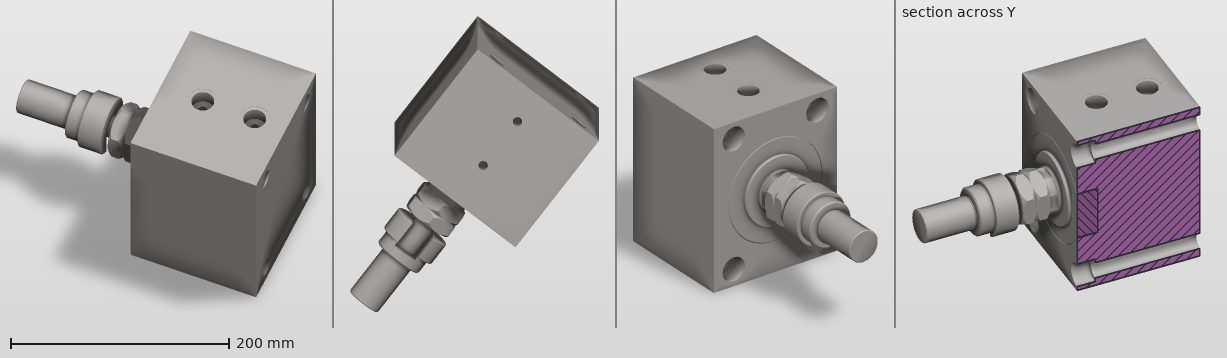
import cadquery as cq
import math


overall_length = 262.0

block_length = 125.0
block_width = 140.0
block_height = 170.0
bolt_pitch_y = 94.8
bolt_pitch_z = 135.2
bolt_hole_diameter = 17.0
bolt_counterbore_diameter = 25.2
bolt_counterbore_depth = 18.3

port_positions = [42.2, 93.8]
port_drill_diameter = 8.6
port_thread_diameter = 21.0
port_thread_depth = 14.0
port_spotface_diameter = 28.3
port_spotface_depth = 0.3

gland_radius = 53.5
gland_depth = 21.0
gland_chamfer = 1.0
collar_radius = 36.2
collar_height = 3.5
collar_chamfer_length = 1.5
collar_chamfer_radial = 0.8

rod_radius = 22.5
rod_inner_end = 57.6
rod_shoulder = -6.8
rod_chamfer = 0.8
flats_length = 8.0
flats_radius = 22.0
flats_across = 40.3
rod_outer_end = rod_shoulder - flats_length

hex_length = 14.0
hex_across_flats = 46.0
hex_count = 2
neck_radius = 10.7
neck_flare_radius = 12.8
neck_flare_length = 2.0
stud_face = rod_outer_end - hex_count * hex_length

coupling_tip = block_length - overall_length
shank_length = 50.0
shank_radius = 16.2
relief_length = 1.3
cap_length = 14.5
cap_radius = 23.3
cap_chamfer = 1.3
sleeve_length = 22.8
sleeve_radius = 27.5
edge_chamfer = 0.8
slot_width = 23.5
slot_into_cap = 4.5

relief_radius = shank_radius - edge_chamfer
relief_start = coupling_tip + shank_length
cap_start = relief_start + relief_length
sleeve_start = cap_start + cap_length
sleeve_end = sleeve_start + sleeve_length
slot_start = sleeve_start - slot_into_cap


def turned(profile):
    """Solid of revolution about X; the profile lists (x, radius) points between two axis points."""
    closed = [(profile[0][0], 0), *profile, (profile[-1][0], 0)]
    return cq.Workplane("XZ").polyline(closed).close().revolve(360, (0, 0, 0), (1, 0, 0))


def cylinder_x(radius, start, end):
    return cq.Workplane("YZ", origin=(start, 0, 0)).circle(radius).extrude(end - start)


def make_block():
    block = cq.Workplane("XY").box(block_length, block_width, block_height, centered=(False, True, True))
    block = (
        block.faces("<X").workplane(origin=(0, 0, 0))
        .rarray(bolt_pitch_y, bolt_pitch_z, 2, 2)
        .cboreHole(bolt_hole_diameter, bolt_counterbore_diameter, bolt_counterbore_depth)
    )
    ports = block.faces(">Z").workplane(origin=(0, 0, 0)).pushPoints([(x, 0) for x in port_positions])
    block = ports.cboreHole(port_drill_diameter, port_thread_diameter, port_thread_depth)
    spotfaces = (
        cq.Workplane("XY", origin=(0, 0, block_height / 2))
        .pushPoints([(x, 0) for x in port_positions])
        .circle(port_spotface_diameter / 2)
        .extrude(-port_spotface_depth)
    )
    gland_seat = cylinder_x(gland_radius, 0, gland_depth)
    rod_bore = cylinder_x(rod_radius, 0, rod_inner_end)
    return block.cut(spotfaces).cut(gland_seat).cut(rod_bore)


def make_gland():
    gland = turned([
        (-collar_height, collar_radius - collar_chamfer_radial),
        (-collar_height + collar_chamfer_length, collar_radius),
        (0, collar_radius),
        (0, gland_radius - gland_chamfer),
        (gland_chamfer, gland_radius),
        (gland_depth, gland_radius),
    ])
    return gland.cut(cylinder_x(rod_radius, -collar_height, gland_depth))


def make_rod():
    shaft = turned([
        (rod_shoulder, rod_radius - rod_chamfer),
        (rod_shoulder + rod_chamfer, rod_radius),
        (rod_inner_end, rod_radius),
    ])
    flats = cylinder_x(flats_radius, rod_outer_end, rod_shoulder).intersect(
        cq.Workplane("YZ", origin=(rod_outer_end, 0, 0)).rect(flats_across, flats_across).extrude(flats_length)
    )
    return shaft.union(flats)


def make_hexagon(start):
    """Hexagon with corners on Z, both ends chamfered at 45 degrees down to the flats."""
    corner_radius = hex_across_flats / math.sqrt(3)
    flat_radius = hex_across_flats / 2
    chamfer = corner_radius - flat_radius
    end = start + hex_length
    hexagon = (
        cq.Workplane("YZ", origin=(start, 0, 0))
        .transformed(rotate=(0, 0, 90))
        .polygon(6, 2 * corner_radius)
        .extrude(hex_length)
    )
    envelope = turned([
        (start, flat_radius),
        (start + chamfer, corner_radius),
        (end - chamfer, corner_radius),
        (end, flat_radius),
    ])
    return hexagon.intersect(envelope)


def make_stud():
    stud = turned([
        (slot_start, neck_radius),
        (stud_face - neck_flare_length, neck_radius),
        (stud_face, neck_flare_radius),
    ])
    for index in range(hex_count):
        stud = stud.union(make_hexagon(stud_face + index * hex_length))
    return stud


def make_coupling():
    body = turned([
        (coupling_tip, relief_radius),
        (coupling_tip + edge_chamfer, shank_radius),
        (relief_start - edge_chamfer, shank_radius),
        (relief_start, relief_radius),
        (cap_start, relief_radius),
        (cap_start, cap_radius - cap_chamfer),
        (cap_start + cap_chamfer, cap_radius),
        (sleeve_start, cap_radius),
        (sleeve_start, sleeve_radius - edge_chamfer),
        (sleeve_start + edge_chamfer, sleeve_radius),
        (sleeve_end - edge_chamfer, sleeve_radius),
        (sleeve_end, sleeve_radius - edge_chamfer),
    ])
    slot_length = sleeve_end - slot_start
    slot_top = cylinder_x(slot_width / 2, slot_start, sleeve_end)
    slot_sides = cq.Workplane("XY", origin=(slot_start, 0, 0)).box(
        slot_length, slot_width, sleeve_radius, centered=(False, True, False)
    ).translate((0, 0, -sleeve_radius))
    return body.cut(slot_top).cut(slot_sides)


block = make_block()
gland = make_gland()
rod = make_rod()
stud = make_stud()
coupling = make_coupling()

result = cq.Compound.makeCompound([block.val(), gland.val(), rod.val(), stud.val(), coupling.val()])